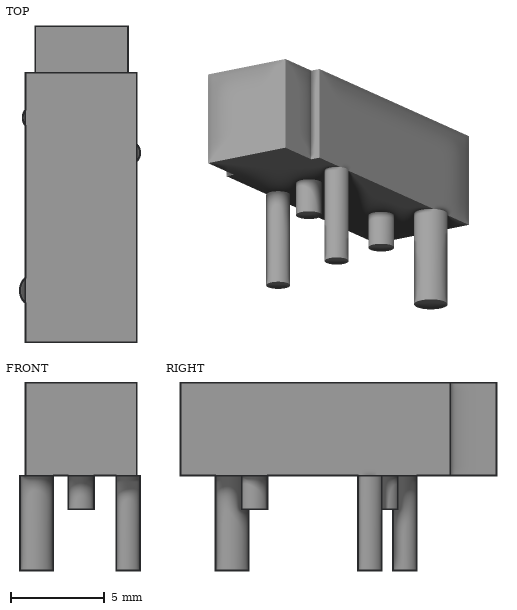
import cadquery as cq

overall_length = 17.0
housing_width = 6.0
housing_length = 14.5
body_height = 5.0

nose_width = 5.0
nose_length = overall_length - housing_length
nose_offset_x = 0.025

long_pin_length = 5.1
thick_pin_diameter = 1.8
thick_pin_position = (-2.4, 2.79)
thin_pin_diameter = 1.3
thin_pin_positions = [(-2.5, 12.07), (2.53, 10.18)]

peg_diameter = 1.4
peg_length = 1.8
peg_positions = [(0.0, 4.0), (0.0, 11.0)]


def make_block(width, length, centre_x, front_y):
    """Rectangular block standing on Z = 0 with its front face at front_y."""
    return (
        cq.Workplane("XY")
        .box(width, length, body_height, centered=(True, False, False))
        .translate((centre_x, front_y, 0))
    )


def make_pin(diameter, length, position):
    """Round pin hanging down from the underside of the housing."""
    return cq.Workplane("XY").center(*position).circle(diameter / 2).extrude(-length)


housing = make_block(housing_width, housing_length, 0, 0)
nose = make_block(nose_width, nose_length, nose_offset_x, housing_length)

thick_pin = make_pin(thick_pin_diameter, long_pin_length, thick_pin_position)

thin_pins = []
for position in thin_pin_positions:
    thin_pins.append(make_pin(thin_pin_diameter, long_pin_length, position).val())

pegs = []
for position in peg_positions:
    pegs.append(make_pin(peg_diameter, peg_length, position).val())

result = cq.Compound.makeCompound([housing.val(), nose.val(), thick_pin.val(), *thin_pins, *pegs])